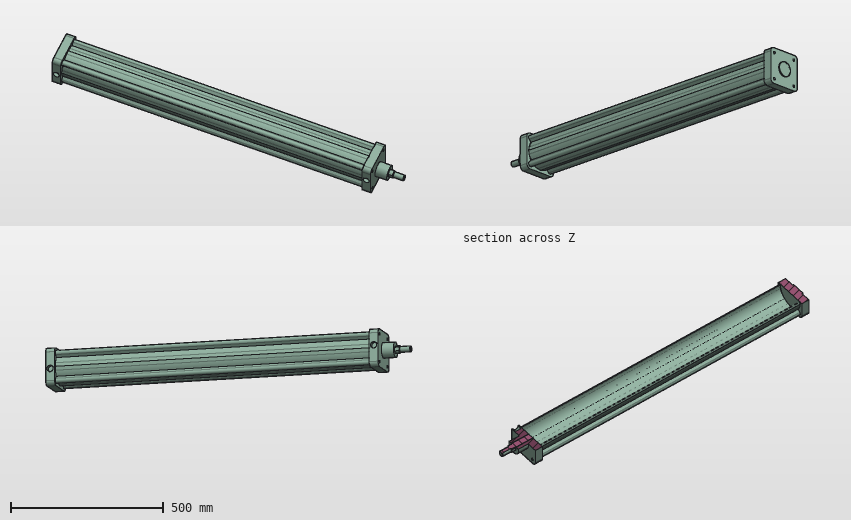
import cadquery as cq
import math


head_size = 126.0
head_length = 30.5
head_corner_radius = 15.0
collar_diameter = 51.5
rear_collar_length = 4.0
front_collar_length = 41.0

tie_hole_offset = 46.0
tie_hole_diameter = 8.0
tie_hole_depth = 15.0

port_diameter = 21.0
port_depth = 15.0
port_height = 7.5

tube_length = 1072.0
bore_diameter = 100.0
tube_radius = 54.0
ridge_height = 55.0
ridge_half_width = 12.5
lobe_radius = 9.0

rod_diameter = 25.0
rod_end_length = 17.0
flat_width = 22.0
shoulder_chamfer = 2.5
thread_diameter = 20.0
thread_chamfer = 2.0
overall_length = 1231.0

front_head_start = head_length + tube_length
front_face = front_head_start + head_length
collar_end = front_face + front_collar_length
rod_end = collar_end + rod_end_length
rod_tip = overall_length - rear_collar_length


def cylinder_x(start, end, diameter):
    """Solid cylinder on the bore axis from X = start to X = end."""
    return cq.Workplane("YZ", origin=(start, 0, 0)).circle(diameter / 2).extrude(end - start)


def head(start, outer_face, inward, port_z):
    """Square head with rounded corners, fastener holes in its outer face and one air port."""
    block = (
        cq.Workplane("YZ", origin=(start, 0, 0))
        .rect(head_size, head_size)
        .extrude(head_length)
        .edges("|X")
        .fillet(head_corner_radius)
    )
    tie_holes = (
        cq.Workplane("YZ", origin=(outer_face, 0, 0))
        .rect(2 * tie_hole_offset, 2 * tie_hole_offset, forConstruction=True)
        .vertices()
        .circle(tie_hole_diameter / 2)
        .extrude(inward * tie_hole_depth)
    )
    port = (
        cq.Workplane("XZ", origin=(start + head_length / 2, -head_size / 2, port_z))
        .circle(port_diameter / 2)
        .extrude(-port_depth)
    )
    return block.cut(tie_holes).cut(port)


rear_head = head(0, 0, 1, -port_height).union(cylinder_x(-rear_collar_length, 0, collar_diameter))

front_head = (
    head(front_head_start, front_face, -1, port_height)
    .union(cylinder_x(front_face, collar_end, collar_diameter))
    .cut(cylinder_x(front_head_start, collar_end, rod_diameter))
)


def placed(point, quarter_turns):
    """Cross-section point (y, z) turned about the bore axis by quarter turns."""
    y, z = point
    for _ in range(quarter_turns):
        y, z = -z, y
    return y, z


def swapped(point):
    """Cross-section point mirrored in the diagonal y = z."""
    y, z = point
    return z, y


def tube_profile():
    """Four identical quarters: a ridge slope, an arc, a corner lobe, an arc and a ridge slope."""
    ridge_top = (ridge_height, 0)
    ridge_foot = (math.sqrt(tube_radius**2 - ridge_half_width**2), ridge_half_width)

    flank_shift = lobe_radius * math.sqrt(2)
    root_z = (math.sqrt(2 * tube_radius**2 - flank_shift**2) - flank_shift) / 2
    flank_root = (root_z + flank_shift, root_z)

    foot_angle = math.asin(ridge_half_width / tube_radius)
    root_angle = math.asin(root_z / tube_radius)
    middle_angle = (foot_angle + root_angle) / 2
    arc_middle = (tube_radius * math.cos(middle_angle), tube_radius * math.sin(middle_angle))

    lobe_reach = lobe_radius * math.sqrt(0.5)
    lobe_start = (tie_hole_offset + lobe_reach, tie_hole_offset - lobe_reach)
    lobe_tip = (tie_hole_offset + lobe_reach, tie_hole_offset + lobe_reach)

    profile = cq.Workplane("YZ", origin=(head_length, 0, 0)).moveTo(*ridge_top)
    for turn in range(4):
        profile = (
            profile.lineTo(*placed(ridge_foot, turn))
            .threePointArc(placed(arc_middle, turn), placed(flank_root, turn))
            .lineTo(*placed(lobe_start, turn))
            .threePointArc(placed(lobe_tip, turn), placed(swapped(lobe_start), turn))
            .lineTo(*placed(swapped(flank_root), turn))
            .threePointArc(placed(swapped(arc_middle), turn), placed(swapped(ridge_foot), turn))
            .lineTo(*placed(swapped(ridge_top), turn))
        )
    return profile.close()


tube = tube_profile().extrude(tube_length).cut(cylinder_x(head_length, front_head_start, bore_diameter))

rod_in_head = cylinder_x(front_head_start, collar_end, rod_diameter)
flats_limit = (
    cq.Workplane("YZ", origin=(collar_end, 0, 0)).rect(flat_width, rod_diameter).extrude(rod_end_length)
)
rod_shoulder = (
    cylinder_x(collar_end, rod_end, rod_diameter).faces(">X").chamfer(shoulder_chamfer).intersect(flats_limit)
)
rod_thread = cylinder_x(rod_end, rod_tip, thread_diameter).faces(">X").chamfer(thread_chamfer)
rod = rod_in_head.union(rod_shoulder).union(rod_thread)

result = cq.Compound.makeCompound([rear_head.val(), tube.val(), front_head.val(), rod.val()])